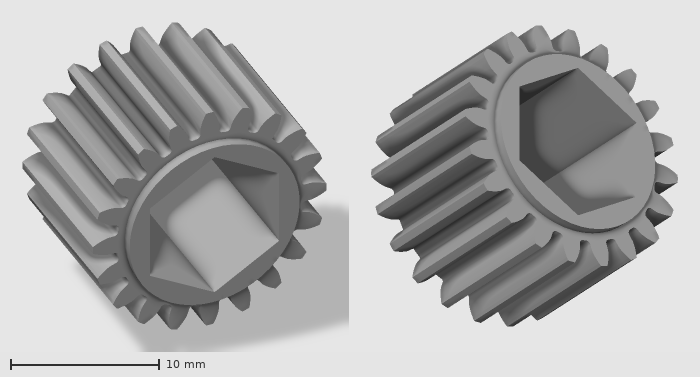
import cadquery as cq
import math

INCH = 25.4
tooth_count = 20
diametral_pitch = 32
pressure_angle = math.radians(20)
root_radius = 6.91
tip_relief_radius = 8.53
root_fillet = 0.3
face_width = 7 / 16 * INCH
overall_length = 12.65
hub_diameter = INCH / 2
hex_across_flats = 9.63
hex_sides = 6
flank_samples = 6

module = INCH / diametral_pitch
pitch_radius = module * tooth_count / 2
tip_radius = pitch_radius + module
base_radius = pitch_radius * math.cos(pressure_angle)
pitch_angle = 2 * math.pi / tooth_count


def involute(angle):
    """Involute function of a pressure angle."""
    return math.tan(angle) - angle


base_half_angle = pitch_angle / 4 + involute(pressure_angle)
root_half_angle = math.asin(base_radius * math.sin(base_half_angle) / root_radius)


def involute_half_angle(radius):
    """Half of the angle a tooth spans at a radius on its involute flanks."""
    return base_half_angle - involute(math.acos(base_radius / radius))


def axial_plane(length):
    """YZ workplane at the -X end of a feature centred on the origin."""
    return cq.Workplane("YZ").workplane(offset=-length / 2)


def polar(radius, angle):
    """Point in the YZ plane, with the angle measured from +Y."""
    return (radius * math.cos(angle), radius * math.sin(angle))


def flank_points(tooth_angle, side):
    """Curved flank from root to tip relief; side is -1 or +1."""
    points = [polar(root_radius, tooth_angle + side * root_half_angle)]
    for i in range(flank_samples + 1):
        radius = base_radius + (tip_relief_radius - base_radius) * i / flank_samples
        points.append(polar(radius, tooth_angle + side * involute_half_angle(radius)))
    return points


def toothed_body():
    """Spur gear body with filleted tooth roots."""
    outline = axial_plane(face_width).moveTo(*polar(root_radius, -root_half_angle))
    tip_half_angle = involute_half_angle(tip_radius)
    for i in range(tooth_count):
        tooth_angle = i * pitch_angle
        rising = flank_points(tooth_angle, -1)
        falling = flank_points(tooth_angle, 1)[::-1]
        next_root = polar(root_radius, tooth_angle + pitch_angle - root_half_angle)
        outline = (
            outline.spline(rising[1:], includeCurrent=True)
            .lineTo(*polar(tip_radius, tooth_angle - tip_half_angle))
            .threePointArc(
                polar(tip_radius, tooth_angle),
                polar(tip_radius, tooth_angle + tip_half_angle),
            )
            .lineTo(*falling[0])
            .spline(falling[1:], includeCurrent=True)
            .threePointArc(polar(root_radius, tooth_angle + pitch_angle / 2), next_root)
        )
    body = outline.close().extrude(face_width)
    corner_limit = (root_radius + base_radius) / 2
    root_corners = [
        edge for edge in body.edges("|X").vals()
        if math.hypot(edge.Center().y, edge.Center().z) < corner_limit
    ]
    return body.newObject(root_corners).fillet(root_fillet)


def hub():
    """Plain cylinder that stands out past both gear faces."""
    return axial_plane(overall_length).circle(hub_diameter / 2).extrude(overall_length)


def hex_bore():
    """Hexagonal through bore with corners on the Z axis."""
    across_corners = hex_across_flats / math.cos(math.pi / hex_sides)
    return (
        axial_plane(overall_length)
        .transformed(rotate=(0, 0, 90))
        .polygon(hex_sides, across_corners)
        .extrude(overall_length)
    )


result = toothed_body().union(hub()).cut(hex_bore())